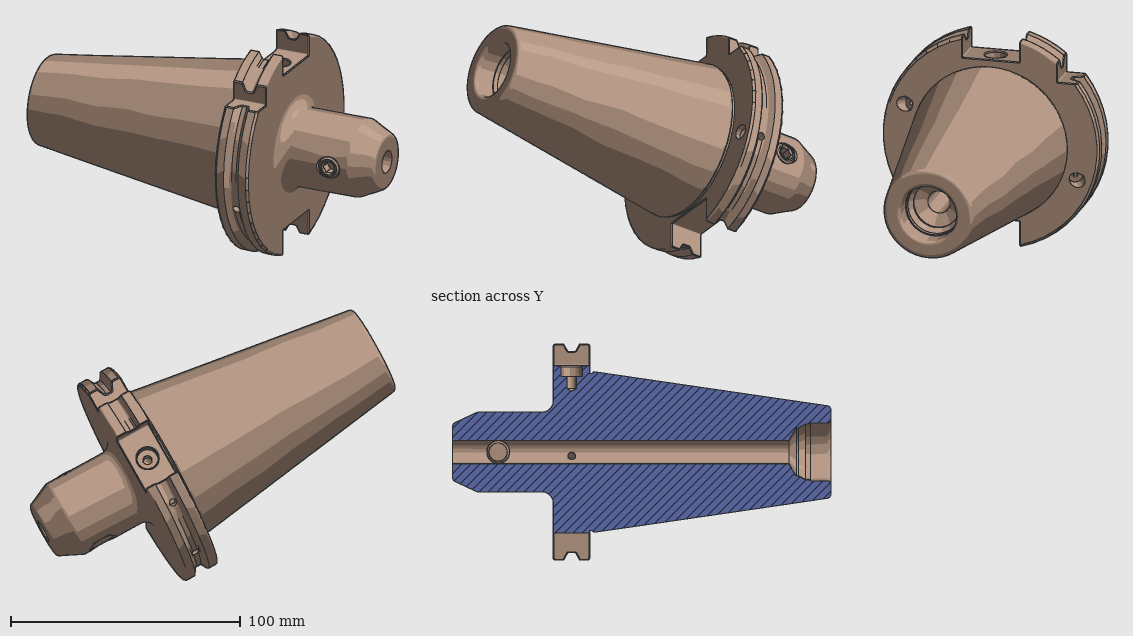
import cadquery as cq
import math

length = 164.8
gauge_x = 102.3
gauge_radius = 35.0
taper_slope = 7 / 48
tail_round = 2.0

collar_end = 103.3
relief_start = 104.0
relief_radius = 34.3

flange_start = 105.0
flange_end = 121.0
flange_diameter = 97.5
flange_radius = flange_diameter / 2
flange_round = 1.0
groove_x = 112.9
groove_radius = 45.6
groove_floor_width = 3.3
groove_half_angle = 30.0
groove_round = 1.0

nose_radius = 17.5
nose_root_round = 5.0
nose_shoulder_x = 153.9
nose_tip_radius = 12.4
shoulder_round = 2.5
tip_round = 2.0

bore_diameter = 10.0
bore_radius = bore_diameter / 2
mouth_round = 1.6
pilot_radius = 12.5
pilot_depth = 9.0
step_radius = 12.0
step_depth = 11.2
throat_radius = 10.4
throat_start = 14.2
throat_end = 15.2
throat_cone_angle = 118.0

slot_width = 25.7
upper_slot_z = 37.5
lower_slot_z = -35.3
slot_round = 0.5
slot_chamfer = 0.41
notch_y = -30.0
notch_z = 29.8

slot_hole_radius = 5.1
slot_hole_depth = 4.6
slot_hole_chamfer = 0.5
slot_pilot_radius = 2.0
slot_pilot_depth = 9.9
drill_point_angle = 118.0

coolant_angle = 20.0
coolant_tilt = 25.0
coolant_circle_radius = 41.4
coolant_radius = 3.3
coolant_depth = 5.0
coolant_feed_radius = 1.0
groove_hole_radius = 1.6
marker_depth = 3.3
marker_angle = 60.0

screw_x = 144.8
screw_radius = 5.0
screw_top = 17.3
screw_tip = 5.3
screw_chamfer = 1.0
screw_seat_radius = 5.6
socket_width = 5.0
socket_depth = 5.0
socket_mouth_radius = 3.3
socket_mouth_depth = 0.8

spot_radius = 6.6
spot_y = 16.3

overshoot = 1.6
select_margin = 0.02


def revolved(points):
    """Solid of revolution about X from (x, radius) points."""
    return cq.Workplane("XZ").polyline(points).close().revolve(360, (0, 0, 0), (1, 0, 0))


def cylinder(radius, start, direction, depth):
    """Cylinder that runs from its start point along a direction."""
    solid = cq.Solid.makeCylinder(radius, depth, cq.Vector(*start), cq.Vector(*direction))
    return cq.Workplane(obj=solid)


def limits_box(x_range, y_range, z_range):
    """Box given by its lower and upper limit along each axis."""
    sizes = [high - low for low, high in (x_range, y_range, z_range)]
    corner = (x_range[0], y_range[0], z_range[0])
    return cq.Workplane("XY").box(*sizes, centered=False).translate(corner)


def make_shank():
    """Taper with the short collar and relief up to the flange."""
    tail_radius = gauge_radius - gauge_x * taper_slope
    return revolved([
        (0, 0),
        (0, tail_radius),
        (gauge_x, gauge_radius),
        (collar_end, gauge_radius),
        (relief_start, relief_radius),
        (flange_start, relief_radius),
        (flange_start, 0),
    ]).faces("<X").edges().fillet(tail_round)


def make_flange():
    """Disc with rounded rims and a V groove around it."""
    disc = cylinder(flange_radius, (flange_start, 0, 0), (1, 0, 0), flange_end - flange_start)
    disc = disc.faces("<X or >X").edges().fillet(flange_round)
    floor_half = groove_floor_width / 2
    groove_depth = flange_radius - groove_radius
    mouth_half = floor_half + groove_depth * math.tan(math.radians(groove_half_angle))
    groove = revolved([
        (groove_x - floor_half, groove_radius),
        (groove_x - mouth_half, flange_radius),
        (groove_x + mouth_half, flange_radius),
        (groove_x + floor_half, groove_radius),
    ])
    flange = disc.cut(groove)
    floor_reach = groove_radius + select_margin
    floor_region = cq.selectors.BoxSelector(
        (groove_x - floor_half - select_margin, -floor_reach, -floor_reach),
        (groove_x + floor_half + select_margin, floor_reach, floor_reach),
        boundingbox=True,
    )
    return flange.edges(floor_region).edges("%CIRCLE").fillet(groove_round)


def make_nose():
    slope_angle = math.atan2(nose_radius - nose_tip_radius, length - nose_shoulder_x)
    shoulder_run = shoulder_round * math.tan(slope_angle / 2)
    profile = (
        cq.Workplane("XZ")
        .moveTo(flange_end, 0)
        .lineTo(flange_end, nose_radius + nose_root_round)
        .radiusArc((flange_end + nose_root_round, nose_radius), -nose_root_round)
        .lineTo(nose_shoulder_x - shoulder_run, nose_radius)
        .radiusArc(
            (
                nose_shoulder_x + shoulder_run * math.cos(slope_angle),
                nose_radius - shoulder_run * math.sin(slope_angle),
            ),
            shoulder_round,
        )
        .lineTo(length, nose_tip_radius)
        .lineTo(length, 0)
        .close()
    )
    nose = profile.revolve(360, (0, 0, 0), (1, 0, 0))
    return nose.faces(">X").edges().fillet(tip_round)


def make_axial_bore():
    cone_length = (throat_radius - bore_radius) / math.tan(math.radians(throat_cone_angle / 2))
    return (
        cq.Workplane("XZ")
        .lineTo(0, pilot_radius + mouth_round)
        .radiusArc((mouth_round, pilot_radius), -mouth_round)
        .lineTo(pilot_depth, pilot_radius)
        .lineTo(pilot_depth, step_radius)
        .lineTo(step_depth, step_radius)
        .lineTo(throat_start, throat_radius)
        .lineTo(throat_end, throat_radius)
        .lineTo(throat_end + cone_length, bore_radius)
        .lineTo(length, bore_radius)
        .lineTo(length, 0)
        .close()
        .revolve(360, (0, 0, 0), (1, 0, 0))
    )


def cut_slot(flange, y_range, z_range, corner_edges):
    """Cut a slot through the flange, round its inner corners and chamfer its outline."""
    slot = limits_box((flange_start, flange_end), y_range, z_range)
    slotted = flange.cut(slot.edges(corner_edges).fillet(slot_round))
    low_corner = [flange_start, y_range[0], z_range[0]]
    high_corner = [flange_end, y_range[1], z_range[1]]
    slot_region = cq.selectors.BoxSelector(
        [limit - select_margin for limit in low_corner],
        [limit + select_margin for limit in high_corner],
        boundingbox=True,
    )
    full_width = flange_end - flange_start - select_margin
    outline = [edge for edge in slotted.edges(slot_region).vals() if edge.BoundingBox().xlen < full_width]
    return slotted.newObject(outline).chamfer(slot_chamfer)


def make_slotted_flange():
    flange = make_flange()
    drive_width = (-slot_width / 2, slot_width / 2)
    flange = cut_slot(flange, drive_width, (upper_slot_z, flange_radius), "|X and <Z")
    flange = cut_slot(flange, drive_width, (-flange_radius, lower_slot_z), "|X and >Z")
    return cut_slot(flange, (-flange_radius, notch_y), (notch_z, flange_radius), "|X and <Z and >Y")


def make_slot_hole():
    """Flat recess with a drilled pilot hole below it."""
    point_depth = slot_pilot_radius / math.tan(math.radians(drill_point_angle / 2))
    recess_radius = slot_hole_radius - slot_hole_chamfer
    return (
        cq.Workplane("XZ")
        .lineTo(slot_hole_radius, 0)
        .lineTo(recess_radius, -slot_hole_chamfer)
        .lineTo(recess_radius, -slot_hole_depth)
        .lineTo(slot_pilot_radius, -slot_hole_depth)
        .lineTo(slot_pilot_radius, -slot_pilot_depth)
        .lineTo(0, -slot_pilot_depth - point_depth)
        .close()
        .revolve(360, (0, 0, 0), (0, 1, 0))
        .translate((groove_x, 0, upper_slot_z))
    )


def make_coolant_hole():
    """Slanted hole from the taper side of the flange, with a thin feed that ends below the groove."""
    tilt = math.radians(coolant_tilt)
    mouth = (flange_start, coolant_circle_radius, 0)
    inward = (math.cos(tilt), -math.sin(tilt), 0)
    outside = tuple(place - overshoot * step for place, step in zip(mouth, inward))
    hole = cylinder(coolant_radius, outside, inward, coolant_depth + overshoot)
    feed_length = (groove_x - flange_start) / math.cos(tilt)
    return hole.union(cylinder(coolant_feed_radius, mouth, inward, feed_length))


def make_groove_hole(depth):
    """Radial hole from the floor of the groove towards the axis."""
    start = (groove_x, groove_radius + overshoot, 0)
    return cylinder(groove_hole_radius, start, (0, -1, 0), depth + overshoot)


def turned(shape, angle):
    """Shape turned about the axis of the holder."""
    return shape.rotate((0, 0, 0), (1, 0, 0), angle)


def make_screw_hole():
    """Countersunk cross hole that opens into the axial bore."""
    hole = cylinder(screw_radius, (screw_x, -nose_radius, 0), (0, 1, 0), nose_radius)
    mouth = cq.Solid.makeCone(
        screw_seat_radius, screw_radius, screw_seat_radius - screw_radius,
        cq.Vector(screw_x, -nose_radius, 0), cq.Vector(0, 1, 0),
    )
    return hole.union(cq.Workplane(obj=mouth))


def make_holder():
    holder = make_shank().union(make_slotted_flange()).union(make_nose())
    holder = holder.cut(make_axial_bore())
    holder = holder.cut(make_slot_hole())
    for angle in (coolant_angle, coolant_angle + 180):
        holder = holder.cut(turned(make_coolant_hole(), angle))
        holder = holder.cut(turned(make_groove_hole(groove_radius), angle))
    holder = holder.cut(turned(make_groove_hole(marker_depth), marker_angle))
    holder = holder.cut(make_screw_hole())
    return holder.cut(cylinder(spot_radius, (screw_x, spot_y, 0), (0, 1, 0), nose_radius))


def make_screw():
    screw = cylinder(screw_radius, (screw_x, -screw_top, 0), (0, 1, 0), screw_top - screw_tip)
    screw = screw.faces("<Y or >Y").edges().chamfer(screw_chamfer)
    socket = (
        cq.Workplane("XZ", origin=(screw_x, -screw_top, 0))
        .polygon(6, socket_width / math.cos(math.pi / 6))
        .extrude(-socket_depth)
    )
    mouth = cq.Solid.makeCone(
        socket_mouth_radius, socket_mouth_radius - socket_mouth_depth, socket_mouth_depth,
        cq.Vector(screw_x, -screw_top, 0), cq.Vector(0, 1, 0),
    )
    return screw.cut(socket).cut(cq.Workplane(obj=mouth))


holder = make_holder()
screw = make_screw()
result = cq.Compound.makeCompound([holder.val(), screw.val()])